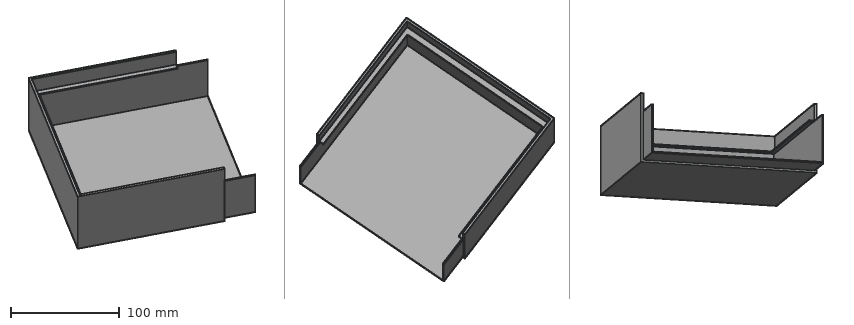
import cadquery as cq

width = 167.5
case_depth = 140.0
height = 65.0
wall = 2.5

total_depth = 170
tray_inset = 2.0
tray_sheet = 1.4
tray_top = 48.0

lip_side_reach = 7.1
lip_front_reach = 8.3
lip_sheet = 1.4


def box_between(low, high):
    """Axis-aligned box between two opposite corners."""
    size = [b - a for a, b in zip(low, high)]
    return cq.Workplane("XY").box(*size, centered=False).translate(low)


def make_case():
    outside = box_between((0, 0, 0), (width, case_depth, height))
    cavity = box_between((wall, wall, wall), (width - wall, case_depth, height))
    return outside.cut(cavity)


def make_tray():
    outside = box_between(
        (tray_inset, tray_inset, tray_inset),
        (width - tray_inset, total_depth, tray_top),
    )
    inner = tray_inset + tray_sheet
    cavity = box_between((inner, inner, inner), (width - inner, total_depth, tray_top))
    return outside.cut(cavity)


def make_lip():
    lip_top = tray_top + lip_sheet
    outside = box_between(
        (wall / 2, wall / 2, tray_top),
        (width - wall / 2, case_depth, lip_top),
    )
    opening = box_between(
        (lip_side_reach, lip_front_reach, tray_top),
        (width - lip_side_reach, case_depth, lip_top),
    )
    return outside.cut(opening)


result = make_case().union(make_tray()).union(make_lip())